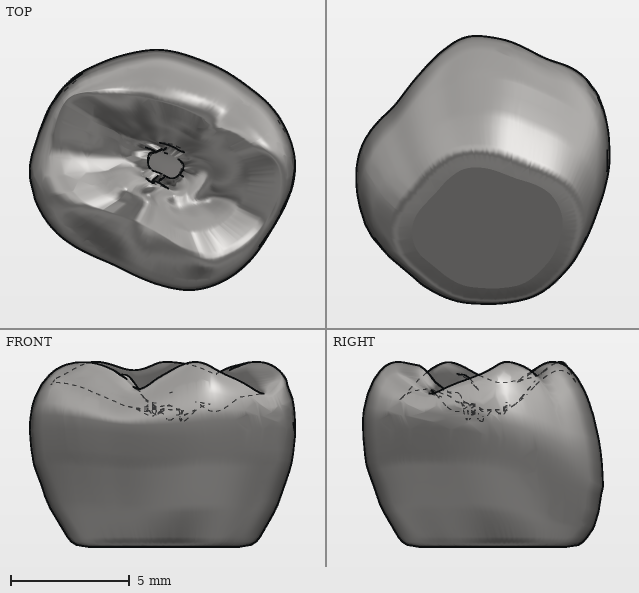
import cadquery as cq
import math


RAYS = 36
SEAM_ANGLE = math.radians(173)
TOTAL_HEIGHT = 7.8

WIDEST_RADII = [
    5.58, 5.51, 5.30, 5.03, 4.93, 4.93, 5.08, 5.12, 5.23, 5.44, 5.47, 5.47,
    5.62, 5.50, 5.20, 4.79, 4.49, 4.56, 4.86, 5.20, 5.30, 5.27, 5.20, 5.37,
]

WIDEST_MEAN_Z = 4.4
WIDEST_END_LIFT = 0.57
WIDEST_BACK_DROP = 1.0

FLANK_STATIONS = [(0.28, 0.64), (0.45, 0.39), (0.63, 0.19), (0.82, 0.05)]
TOE_MEAN_FLARE = 0.24
TOE_END_FLARE = 0.04
TOE_BACK_FLARE = -0.075
TOE_CORNER_FLARE = -0.045
TOE_HEIGHT = 0.55
TOE_INSET = 0.95
TOE_ANGLES = [0, 25, 50, 75]

CREST = [
    (4.85, 0.05, 7.35),
    (4.10, 0.95, TOTAL_HEIGHT),
    (2.75, 1.85, 7.50),
    (2.25, 2.05, 7.30),
    (1.28, 2.60, 7.65),
    (0.00, 3.05, TOTAL_HEIGHT),
    (-1.20, 3.28, 7.45),
    (-3.00, 3.30, TOTAL_HEIGHT),
    (-4.04, 2.90, 7.35),
    (-4.46, 0.50, 6.96),
    (-4.20, -0.60, 7.50),
    (-3.50, -1.40, TOTAL_HEIGHT),
    (-2.30, -1.90, 7.50),
    (-1.05, -2.35, 6.65),
    (0.00, -2.90, 7.25),
    (1.45, -3.60, TOTAL_HEIGHT),
    (2.60, -3.50, 7.25),
    (3.40, -3.00, 6.90),
    (4.10, -2.35, 6.45),
    (4.75, -1.20, 6.85),
]
SHOULDER_ANGLES = [90, 76, 61, 46, 31, 16, 0]
SHOULDER_BACK_SLACK = 0.09

FOSSA_X = 0.1
FOSSA_Y = 0.3
FOSSA_Z = 5.8
FLOOR_REACH = 0.16
INNER_RINGS = 6

SWELLINGS = [
    (-1.5, -0.5, 0.8, 0.6),
    (1.4, -2.7, 0.45, 0.7),
    (0.5, -0.9, 0.6, 0.6),
    (3.3, 0.2, 0.5, 0.8),
    (2.3, -1.3, -0.4, 0.6),
    (0.8, 1.4, 0.4, 0.7),
    (-3.3, 2.1, 0.45, 0.6),
]


def periodic_value(knots, values, angle):
    """Smooth value at an angle, from values at increasing angles within one turn."""
    turn = 2 * math.pi
    count = len(knots)
    angle = knots[0] + (angle - knots[0]) % turn
    index = max(i for i in range(count) if knots[i] <= angle)

    def knot(i):
        return knots[i % count] + turn * (i // count)

    def value(i):
        return values[i % count]

    def slope(i):
        return (value(i + 1) - value(i - 1)) / (knot(i + 1) - knot(i - 1))

    span = knot(index + 1) - knot(index)
    s = (angle - knot(index)) / span
    rise = s * s * (3 - 2 * s)
    start_bend = s * (1 - s) ** 2 * span * slope(index)
    end_bend = s * s * (1 - s) * span * slope(index + 1)
    return value(index) + rise * (value(index + 1) - value(index)) + start_bend - end_bend


def polar(radius, angle, z):
    """Point at a radius and angle around the Z axis."""
    return (radius * math.cos(angle), radius * math.sin(angle), z)


WIDEST_ANGLES = [2 * math.pi * i / len(WIDEST_RADII) for i in range(len(WIDEST_RADII))]
CREST_ANGLES = [math.atan2(y, x) % (2 * math.pi) for x, y, z in CREST]
CREST_RADII = [math.hypot(x, y) for x, y, z in CREST]
CREST_HEIGHTS = [z for x, y, z in CREST]


def widest(angle):
    """Radius and height of the widest line."""
    lift = WIDEST_END_LIFT * math.cos(2 * angle) - WIDEST_BACK_DROP * math.sin(angle)
    return periodic_value(WIDEST_ANGLES, WIDEST_RADII, angle), WIDEST_MEAN_Z + lift


def crest(angle):
    """Radius and height of the cusp crest."""
    radius = periodic_value(CREST_ANGLES, CREST_RADII, angle)
    return radius, min(TOTAL_HEIGHT, periodic_value(CREST_ANGLES, CREST_HEIGHTS, angle))


def toe_flare(angle):
    """Share of the widest radius lost at the top of the rounded toe."""
    flare = TOE_MEAN_FLARE + TOE_END_FLARE * math.cos(2 * angle)
    return flare + TOE_BACK_FLARE * math.sin(angle) + TOE_CORNER_FLARE * math.sin(2 * angle)


def toe_point(angle, turn):
    """Point on the rounded toe; turn runs from 0 on the base toward 90 degrees at its top."""
    radius = widest(angle)[0] * (1 - toe_flare(angle)) - TOE_INSET * (1 - math.sin(turn))
    return polar(radius, angle, TOE_HEIGHT * (1 - math.cos(turn)))


def flank_point(angle, height_share, flare_share):
    """Point on the flank between the toe and the widest line."""
    radius, z = widest(angle)
    return polar(radius * (1 - toe_flare(angle) * flare_share), angle, z * height_share)


def shoulder_point(angle, turn):
    """Point on the near-elliptic rounding from the widest line (90 degrees) to the crest (0)."""
    outer_radius, outer_z = widest(angle)
    crest_radius, crest_z = crest(angle)
    radius = crest_radius + (outer_radius - crest_radius) * math.sin(turn)
    radius -= SHOULDER_BACK_SLACK * math.sin(angle) * math.sin(2 * turn)
    return polar(radius, angle, outer_z + (crest_z - outer_z) * math.cos(turn))


def chewing_point(angle, progress):
    """Point on the inner slope; progress runs from 0 on the crest to 1 at the fossa floor."""
    reach = 1 - progress * (1 - FLOOR_REACH)
    depth_share = (1 - math.cos(math.pi * progress)) / 2
    crest_radius, crest_z = crest(angle)
    crest_x = crest_radius * math.cos(angle)
    crest_y = crest_radius * math.sin(angle)
    x = FOSSA_X + reach * (crest_x - FOSSA_X)
    y = FOSSA_Y + reach * (crest_y - FOSSA_Y)
    z = crest_z - depth_share * (crest_z - FOSSA_Z)
    fade = math.sin(math.pi * progress) ** 2
    for bump_x, bump_y, rise, spread in SWELLINGS:
        z += fade * rise * math.exp(-((x - bump_x) ** 2 + (y - bump_y) ** 2) / spread**2)
    return (x, y, z)


STATIONS = [(toe_point, math.radians(turn)) for turn in TOE_ANGLES]
STATIONS += [(flank_point, *station) for station in FLANK_STATIONS]
STATIONS += [(shoulder_point, math.radians(turn)) for turn in SHOULDER_ANGLES]
STATIONS += [(chewing_point, (i + 1) / INNER_RINGS) for i in range(INNER_RINGS)]


def make_ring(point_at, *station):
    """Closed smooth wire through one point per ray."""
    angles = [SEAM_ANGLE + 2 * math.pi * i / RAYS for i in range(RAYS)]
    points = [cq.Vector(*point_at(angle, *station)) for angle in angles]
    return cq.Wire.assembleEdges([cq.Edge.makeSpline(points, periodic=True)])


rings = [make_ring(*station) for station in STATIONS]
result = cq.Workplane("XY").newObject([cq.Solid.makeLoft(rings)])